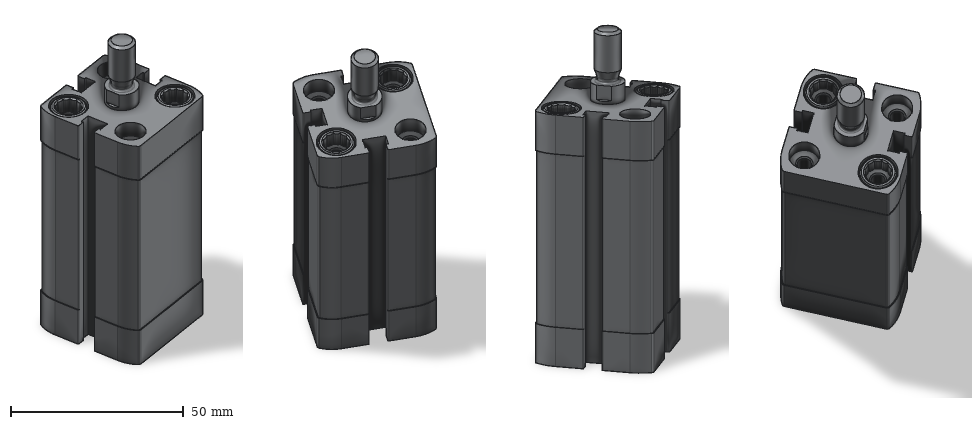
import cadquery as cq
import math

total_height = 98.5
body_width = 35.5
half_width = body_width / 2
housing_height = 77.0
cap_height = 12.0
barrel_inset = 0.3

flat_half_length = 11.1
corner_radius = 12.0
corner_edge_fillet = 1.0

slot_neck_half = 2.8
slot_inner_half = 3.4
slot_neck_depth = 2.5
slot_depth = 5.8
slot_mouth_radius = 0.3
slot_directions = (90, 180, 270)

hole_spacing = 22.1
through_diameter = 4.1
mouth_diameter = 5.0
counterbore_diameter = 9.0
bore_depth = 4.8
groove_outer_diameter = 11.5
collar_outer_diameter = 10.5
collar_bore_diameter = 7.5
collar_outer_chamfer = 0.4
collar_bore_chamfer = 0.5
serration_count = 12
serration_tip_diameter = 8.0
serration_width_angle = 17
groove_depth = 3.4

rod_diameter = 10.0
rod_height = 5.5
flats_width = 9.0
flats_height = 4.3
flats_runout_angle = 30
thread_diameter = 8.0
neck_diameter = 6.2
neck_fillet = 0.64
neck_height = 1.4
undercut_height = 3.8
tip_chamfer_height = 0.8


def body_outline(inset, height):
    """Prism with flat sides whose front and back bulge away from the corners in large arcs."""
    side = half_width - inset
    radius = corner_radius - inset
    center_y = half_width - corner_radius
    arc_width = side - flat_half_length
    end_y = center_y + math.sqrt(radius**2 - arc_width**2)
    mid_angle = math.asin(arc_width / radius) / 2
    mid_x = flat_half_length + radius * math.sin(mid_angle)
    mid_y = center_y + radius * math.cos(mid_angle)
    return (
        cq.Workplane("XY")
        .moveTo(-flat_half_length, side)
        .lineTo(flat_half_length, side)
        .threePointArc((mid_x, mid_y), (side, end_y))
        .lineTo(side, -end_y)
        .threePointArc((mid_x, -mid_y), (flat_half_length, -side))
        .lineTo(-flat_half_length, -side)
        .threePointArc((-mid_x, -mid_y), (-side, -end_y))
        .lineTo(-side, end_y)
        .threePointArc((-mid_x, mid_y), (-flat_half_length, side))
        .close()
        .extrude(height)
        .edges("|Z and (<X or >X)")
        .fillet(corner_edge_fillet)
    )


def t_slot(inset, height):
    """T-slot cutter opening toward +X, with rounded mouth edges."""
    mouth = half_width - inset
    shoulder = half_width - slot_neck_depth
    floor = half_width - slot_depth
    round_start = mouth - slot_mouth_radius
    mouth_half = slot_neck_half + slot_mouth_radius
    arc_middle_x = round_start + slot_mouth_radius * math.sqrt(0.5)
    arc_middle_y = mouth_half - slot_mouth_radius * math.sqrt(0.5)
    return (
        cq.Workplane("XY")
        .moveTo(floor, -slot_inner_half)
        .lineTo(shoulder, -slot_inner_half)
        .lineTo(shoulder, -slot_neck_half)
        .lineTo(round_start, -slot_neck_half)
        .threePointArc((arc_middle_x, -arc_middle_y), (mouth, -mouth_half))
        .lineTo(mouth, mouth_half)
        .threePointArc((arc_middle_x, arc_middle_y), (round_start, slot_neck_half))
        .lineTo(shoulder, slot_neck_half)
        .lineTo(shoulder, slot_inner_half)
        .lineTo(floor, slot_inner_half)
        .close()
        .extrude(height)
    )


def housing_section(inset, bottom, height):
    """One length of the slotted body."""
    section = body_outline(inset, height)
    for direction in slot_directions:
        section = section.cut(t_slot(inset, height).rotate((0, 0, 0), (0, 0, 1), direction))
    return section.translate((0, 0, bottom))


def revolved(half_profile):
    """Solid of revolution about Z from (radius, height) points."""
    return cq.Workplane("XZ").polyline(half_profile).close().revolve(360, (0, 0), (0, 1))


def stepped_hole(bore_diameter):
    """Cutter for a through hole with a countersunk mouth at the floor of a wider bore."""
    floor = housing_height - bore_depth
    through_radius = through_diameter / 2
    mouth_radius = mouth_diameter / 2
    bore_radius = bore_diameter / 2
    return revolved([
        (0, 0),
        (through_radius, 0),
        (through_radius, floor - (mouth_radius - through_radius)),
        (mouth_radius, floor),
        (bore_radius, floor),
        (bore_radius, housing_height),
        (0, housing_height),
    ])


def collar_bore_countersink():
    """Cutter for the chamfer on the inner edge of a collar."""
    bore_radius = collar_bore_diameter / 2
    return revolved([
        (0, housing_height - collar_bore_chamfer),
        (bore_radius, housing_height - collar_bore_chamfer),
        (bore_radius + collar_bore_chamfer, housing_height),
        (0, housing_height),
    ])


def bore_serrations():
    """Cutter for the ring of V-notches along a collar bore."""
    bore_radius = collar_bore_diameter / 2
    half_angle = math.radians(serration_width_angle / 2)
    edge_x = bore_radius * math.cos(half_angle)
    edge_y = bore_radius * math.sin(half_angle)
    notch = (
        cq.Workplane("XY", origin=(0, 0, housing_height - bore_depth))
        .polyline([(0, 0), (edge_x, -edge_y), (serration_tip_diameter / 2, 0), (edge_x, edge_y)])
        .close()
        .extrude(bore_depth)
    )
    notches = notch
    for index in range(1, serration_count):
        notches = notches.union(notch.rotate((0, 0, 0), (0, 0, 1), index * 360 / serration_count))
    return notches


def collar_groove():
    """Cutter for the ring groove that leaves a collar with a chamfered outer edge."""
    outer_radius = groove_outer_diameter / 2
    inner_radius = collar_outer_diameter / 2
    floor = housing_height - groove_depth
    return revolved([
        (inner_radius, floor),
        (outer_radius, floor),
        (outer_radius, housing_height),
        (inner_radius - collar_outer_chamfer, housing_height),
        (inner_radius, housing_height - collar_outer_chamfer),
    ])


def make_housing():
    barrel_height = housing_height - 2 * cap_height
    body = housing_section(0, 0, cap_height)
    body = body.union(housing_section(barrel_inset, cap_height, barrel_height))
    body = body.union(housing_section(0, housing_height - cap_height, cap_height))

    plain_hole = stepped_hole(counterbore_diameter)
    collar_hole = stepped_hole(collar_bore_diameter)
    offset = hole_spacing / 2
    for side in (-1, 1):
        body = body.cut(plain_hole.translate((side * offset, -side * offset, 0)))
        collar_place = (side * offset, side * offset, 0)
        body = body.cut(collar_hole.translate(collar_place))
        body = body.cut(collar_bore_countersink().translate(collar_place))
        body = body.cut(bore_serrations().translate(collar_place))
        body = body.cut(collar_groove().translate(collar_place))
    return body


def wrench_flat_cutter():
    """Cutter for the flat on the +Y side of the rod, with a sloping run-out at its lower end."""
    rod_top = housing_height + rod_height
    flat_y = flats_width / 2
    reach = rod_diameter - flat_y
    bottom = rod_top - flats_height
    runout_drop = reach * math.tan(math.radians(flats_runout_angle))
    return (
        cq.Workplane("YZ")
        .polyline([
            (flat_y, bottom),
            (flat_y, rod_top),
            (flat_y + reach, rod_top),
            (flat_y + reach, bottom - runout_drop),
        ])
        .close()
        .extrude(rod_diameter / 2, both=True)
    )


def make_piston_rod():
    rod_radius = rod_diameter / 2
    thread_radius = thread_diameter / 2
    neck_radius = neck_diameter / 2
    rod_top = housing_height + rod_height
    neck_top = rod_top + neck_height
    cone_top = rod_top + undercut_height
    fillet_middle = neck_fillet * (1 - math.sqrt(0.5))
    rod = (
        cq.Workplane("XZ")
        .moveTo(0, housing_height)
        .lineTo(rod_radius, housing_height)
        .lineTo(rod_radius, rod_top)
        .lineTo(neck_radius + neck_fillet, rod_top)
        .threePointArc(
            (neck_radius + fillet_middle, rod_top + fillet_middle),
            (neck_radius, rod_top + neck_fillet),
        )
        .lineTo(neck_radius, neck_top)
        .lineTo(thread_radius, cone_top)
        .lineTo(thread_radius, total_height - tip_chamfer_height)
        .lineTo(neck_radius, total_height)
        .lineTo(0, total_height)
        .close()
        .revolve(360, (0, 0), (0, 1))
    )
    neck_rim = cq.selectors.NearestToPointSelector((0, 0, neck_top))
    rod = rod.edges(neck_rim).fillet(neck_fillet)
    flat = wrench_flat_cutter()
    return rod.cut(flat).cut(flat.mirror("XZ"))


housing = make_housing()
piston_rod = make_piston_rod()
result = cq.Compound.makeCompound([housing.val(), piston_rod.val()])